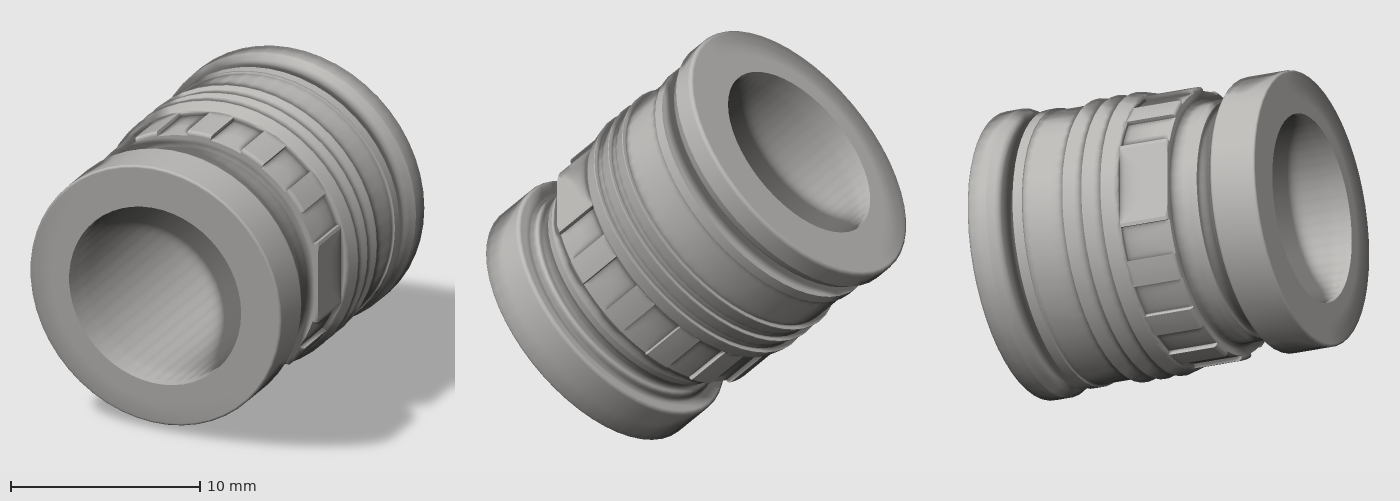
import cadquery as cq
import math

length = 16.55
bore_radius = 5.08
edge_round = 0.2

flange_diameter = 15.5
flange_rim_end = 1.15
flange_cone_end = 1.75
flange_face_radius = 7.41
flange_front_round = 0.43
back_groove_radius = 5.75
back_groove_round = 0.26

shoulder_start = 2.55
shoulder_end = 3.1
shoulder_radius = 7.48
body_radius = 7.35
shoulder_foot_round = 0.12

barb_count = 3
first_barb = 5.5
barb_pitch = 1.11
barb_radius = 7.61
barb_rim_width = 0.07
barb_length = 0.86
last_barb_end = 8.59
last_barb_end_radius = 7.4
last_barb_round = 0.18

spline_end = 11.34
spline_radius = 7.33
valley_radius = 7.08
lands_per_turn = 14
land_pitch = 360 / lands_per_turn
land_angle = 11.1
valley_angle = land_pitch - land_angle
valleys_per_side = 6
pad_distance = 7.02

neck_radius = 6.49
neck_taper_start = 12.33
neck_end = 12.75
neck_end_radius = 6.37
front_groove_radius = 6.0
front_groove_end = 13.45
groove_round = 0.18
lip_round = 0.17

collar_start = 13.94
collar_radius = 7.41
collar_front_round = 0.13


def y_at(station):
    """The Y coordinate of a station, with the sleeve centred on the origin."""
    return length / 2 - station


def barb_corners():
    """Corners (station, radius, rounding) of the barbs, from back to front."""
    corners = []
    for index in range(barb_count):
        start = first_barb + index * barb_pitch
        corners += [
            (start, body_radius, 0),
            (start, barb_radius, 0),
            (start + barb_rim_width, barb_radius, 0),
        ]
        if index < barb_count - 1:
            corners.append((start + barb_length, body_radius, 0))
    corners.append((last_barb_end, last_barb_end_radius, last_barb_round))
    return corners


def profile_corners():
    """Corners (station, radius, rounding) of the half section, from the back bore edge to the front."""
    return [
        (0, bore_radius, 0),
        (0, flange_diameter / 2, edge_round),
        (flange_rim_end, flange_diameter / 2, 0),
        (flange_cone_end, flange_face_radius, flange_front_round),
        (flange_cone_end, back_groove_radius, back_groove_round),
        (shoulder_start, back_groove_radius, 0),
        (shoulder_start, shoulder_radius, 0),
        (shoulder_end, shoulder_radius, 0),
        (shoulder_end, body_radius, shoulder_foot_round),
        *barb_corners(),
        (last_barb_end, spline_radius, 0),
        (spline_end, spline_radius, edge_round),
        (spline_end, neck_radius, edge_round),
        (neck_taper_start, neck_radius, 0),
        (neck_end, neck_end_radius, 0),
        (neck_end, front_groove_radius, groove_round),
        (front_groove_end, front_groove_radius, groove_round),
        (front_groove_end, neck_radius, lip_round),
        (collar_start, neck_radius, lip_round),
        (collar_start, collar_radius, edge_round),
        (length, collar_radius, collar_front_round),
        (length, bore_radius, 0),
    ]


def rounded_outline(corners):
    """A closed outline through (x, y, rounding) corners, with a tangent arc at each rounded one.

    The first corner stays sharp.
    """
    points = [cq.Vector(x, y) for x, y, _ in corners]
    outline = cq.Workplane("XY").moveTo(points[0].x, points[0].y)
    for index in range(1, len(corners)):
        corner = points[index]
        rounding = corners[index][2]
        if rounding == 0:
            outline = outline.lineTo(corner.x, corner.y)
            continue
        to_previous = (points[index - 1] - corner).normalized()
        to_next = (points[index + 1] - corner).normalized()
        half_angle = to_previous.getAngle(to_next) / 2
        tangent_length = rounding / math.tan(half_angle)
        arc_start = corner + to_previous * tangent_length
        arc_end = corner + to_next * tangent_length
        bisector = (to_previous + to_next).normalized()
        arc_middle = corner + bisector * (rounding / math.sin(half_angle) - rounding)
        outline = outline.lineTo(arc_start.x, arc_start.y)
        outline = outline.threePointArc((arc_middle.x, arc_middle.y), (arc_end.x, arc_end.y))
    return outline.close()


def turned_sleeve():
    """The sleeve with its bore, before the splines are cut."""
    corners = [(radius, y_at(station), rounding) for station, radius, rounding in profile_corners()]
    return rounded_outline(corners).revolve(360, (0, 0, 0), (0, 1, 0))


spline_length = spline_end - last_barb_end
cutter_clearance = 0.33
cutter_radius = spline_radius + cutter_clearance


def spline_plane():
    """Plane across the back of the splines, facing the front: local x is X and local y is Z."""
    return cq.Workplane("XZ", origin=(0, y_at(last_barb_end), 0))


def valley_cutter(middle_angle):
    """Ring sector between two lands; the angle is measured from the X axis."""
    start = math.radians(middle_angle - valley_angle / 2)
    middle = math.radians(middle_angle)
    end = math.radians(middle_angle + valley_angle / 2)

    def polar(radius, angle):
        return (radius * math.cos(angle), radius * math.sin(angle))

    return (
        spline_plane()
        .moveTo(*polar(valley_radius, start))
        .lineTo(*polar(cutter_radius, start))
        .threePointArc(polar(cutter_radius, middle), polar(cutter_radius, end))
        .lineTo(*polar(valley_radius, end))
        .threePointArc(polar(valley_radius, middle), polar(valley_radius, start))
        .close()
        .extrude(spline_length)
    )


def pad_cutter():
    """Everything beyond the flat pad on the +X side."""
    pad_depth = cutter_radius - pad_distance
    return (
        spline_plane()
        .center(pad_distance + pad_depth / 2, 0)
        .rect(pad_depth, 2 * cutter_radius)
        .extrude(spline_length)
    )


result = turned_sleeve()

for side_angle in (90, 270):
    for index in range(valleys_per_side):
        offset = (index - (valleys_per_side - 1) / 2) * land_pitch
        result = result.cut(valley_cutter(side_angle + offset))

for pad_angle in (0, 180):
    result = result.cut(pad_cutter().rotate((0, 0, 0), (0, 1, 0), pad_angle))